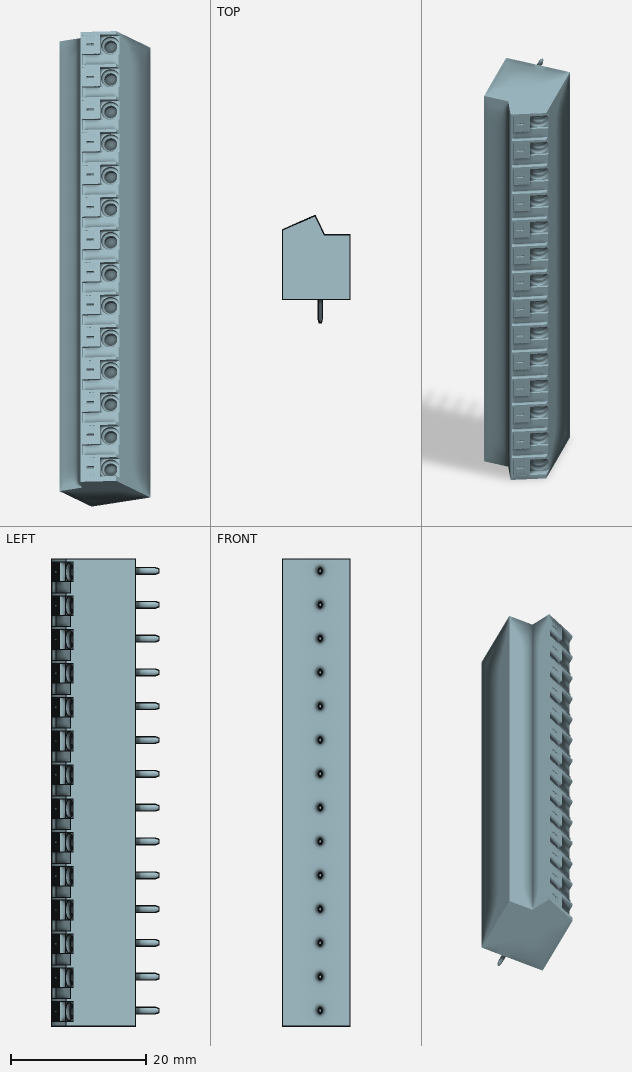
import cadquery as cq
import math

length = 69.1
width = 10.0
left_edge_y = 10.3
ridge_x = 4.85
ridge_y = 12.45
valley_x = 6.2
shoulder_y = 9.6

pole_count = 14
top_margin = 1.8
bottom_margin = 2.35
pitch = (length - top_margin - bottom_margin) / (pole_count - 1)
pole_heights = [bottom_margin + i * pitch for i in range(pole_count)]

slope_length = math.hypot(ridge_x, ridge_y - left_edge_y)
slope_angle = math.degrees(math.atan2(ridge_y - left_edge_y, ridge_x))
overrun = 2.1

entry_height = 2.9
entry_end = 2.4
entry_drop = 0.15
entry_depth = 1.0
bore_radius = 1.4
bore_center = 1.0
bore_depth = 1.65
wire_hole_radius = 1.0
wire_hole_depth = 2.75

ridge_wall = 0.2
button_end = slope_length - ridge_wall
groove_count = 5
groove_pitch = (button_end - entry_end) / groove_count
groove_width = groove_pitch / 2
groove_depth = 0.1
slot_start = 3.3
slot_end = 4.4
slot_height = 0.35
slot_depth = 0.5

step_height = 1.65
step_depth = 0.6

pin_x = 5.6
pin_length = 3.45
pin_thickness = 0.6
pin_height = 1.05
pin_root = 0.7
tip_length = 0.55
tip_ratio = 0.6


def make_housing():
    return (
        cq.Workplane("XY")
        .polyline(
            [
                (0, 0),
                (width, 0),
                (width, shoulder_y),
                (valley_x, shoulder_y),
                (ridge_x, ridge_y),
                (0, left_edge_y),
            ]
        )
        .close()
        .extrude(length)
    )


def slope_box(start, end, depth, height, center_z=0):
    """Cutter sunk into the slope; start and end are measured along it from the left edge."""
    return cq.Workplane("XY").box(end - start, depth + overrun, height).translate(
        ((start + end) / 2, (overrun - depth) / 2, center_z)
    )


def slope_bore(radius, depth):
    """Round cutter sunk square to the slope, on the axis of the wire entry."""
    return (
        cq.Workplane("XZ", origin=(bore_center, overrun))
        .circle(radius)
        .extrude(depth + overrun)
    )


def make_pole_cutter():
    """All cuts of one pole, with the slope lying along X and the pole centred on Z = 0."""
    cutter = slope_box(-overrun, entry_end, entry_depth, entry_height, 0)
    cutter = cutter.union(slope_bore(bore_radius, bore_depth))
    cutter = cutter.union(slope_bore(wire_hole_radius, wire_hole_depth))
    for i in range(groove_count):
        start = entry_end + (i + 0.5) * groove_pitch
        cutter = cutter.union(slope_box(start, start + groove_width, groove_depth, entry_height))
    return cutter.union(slope_box(slot_start, slot_end, slot_depth, slot_height))


def make_step_cutter():
    center_z = -(entry_height + step_height) / 2
    return slope_box(-overrun, button_end, step_depth, step_height, center_z)


def place_on_slope(cutter, z):
    return cutter.rotate((0, 0, 0), (0, 0, 1), slope_angle).translate((0, left_edge_y, z))


def lens(plane, thickness, height):
    """Two arcs meeting at an upper and a lower edge."""
    return (
        plane.moveTo(0, -height / 2)
        .threePointArc((thickness / 2, 0), (0, height / 2))
        .threePointArc((-thickness / 2, 0), (0, -height / 2))
        .close()
    )


def make_pin(z):
    """Pin pointing toward -Y with a tapered tip."""
    root = cq.Workplane("XZ", origin=(pin_x, pin_root, z))
    shank = lens(root, pin_thickness, pin_height).extrude(pin_root + pin_length - tip_length)
    tip_base = cq.Workplane("XZ", origin=(pin_x, tip_length - pin_length, z))
    tip_end = lens(tip_base, pin_thickness, pin_height).workplane(offset=tip_length)
    tip = lens(tip_end, tip_ratio * pin_thickness, tip_ratio * pin_height).loft()
    return shank.union(tip)


pole_cutter = make_pole_cutter()
step_cutter = make_step_cutter()
entry_heights = [z - entry_drop for z in pole_heights]
pole_cuts = [place_on_slope(pole_cutter, z).val() for z in entry_heights]
step_cuts = [place_on_slope(step_cutter, z).val() for z in entry_heights[1:]]
pins = [make_pin(z).val() for z in pole_heights]

housing = make_housing().val()
result = cq.Workplane(housing.cut(*pole_cuts).cut(*step_cuts).fuse(*pins)).solids()